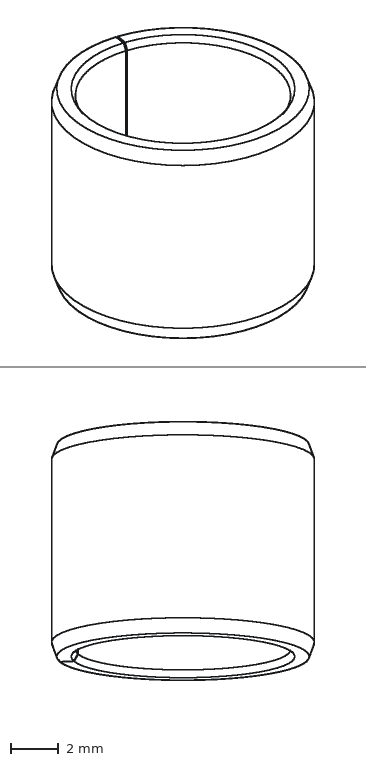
import cadquery as cq

outer_diameter = 11.0
length = 9.0
bore_diameter = 9.0

outer_chamfer_length = 0.6
outer_chamfer_depth = 0.22
bore_chamfer_length = 0.3
bore_chamfer_depth = 0.18

split_angle = 1.0

outer_radius = outer_diameter / 2
bore_radius = bore_diameter / 2
half_length = length / 2


def sleeve():
    """Revolve the chamfered wall section around Z from the -X side, stopping short to leave the split."""
    outer_end_radius = outer_radius - outer_chamfer_depth
    outer_chamfer_z = half_length - outer_chamfer_length
    bore_end_radius = bore_radius + bore_chamfer_depth
    bore_chamfer_z = half_length - bore_chamfer_length
    wall_section = (
        cq.Workplane("XZ")
        .moveTo(-bore_radius, -bore_chamfer_z)
        .lineTo(-bore_end_radius, -half_length)
        .lineTo(-outer_end_radius, -half_length)
        .lineTo(-outer_radius, -outer_chamfer_z)
        .lineTo(-outer_radius, outer_chamfer_z)
        .lineTo(-outer_end_radius, half_length)
        .lineTo(-bore_end_radius, half_length)
        .lineTo(-bore_radius, bore_chamfer_z)
        .close()
    )
    return wall_section.revolve(360 - split_angle, (0, 0, 0), (0, 1, 0))


result = sleeve()